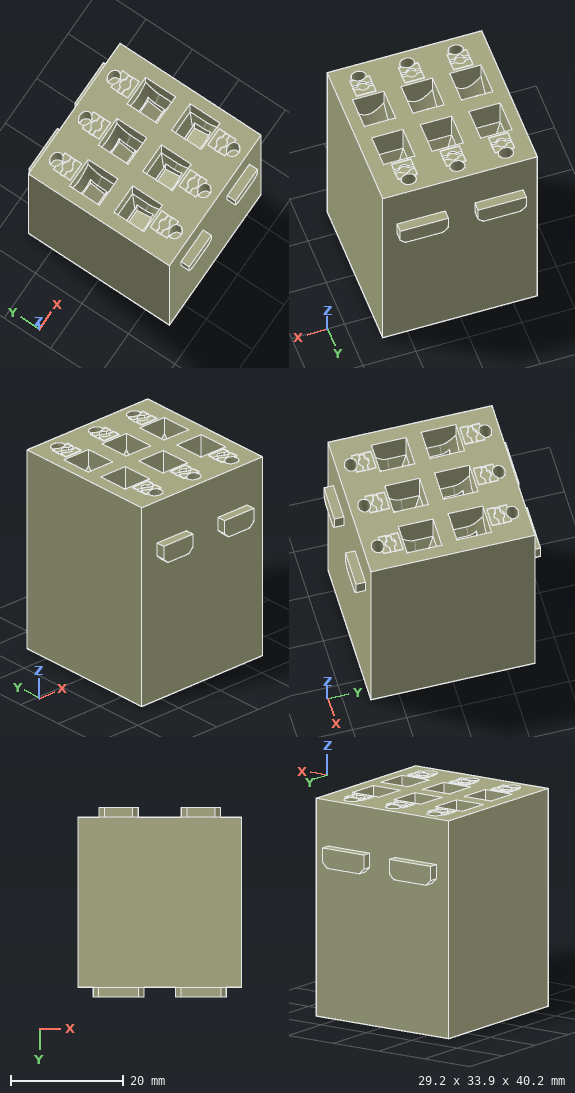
import cadquery as cq
import math

BLOCK_X = 29.2
BLOCK_Y = 30.35
BLOCK_Z = 40.0

TAB_REACH = 1.75
TAB_HEIGHT = 3.6
TAB_TOP_DROP = 8.4
TAB_CHAMFER = 1.0
TAB_PITCH = 14.7
FRONT_TAB_WIDTH = 7.05
REAR_TAB_WIDTH = 9.1

TERMINAL_COUNT = 3
TERMINAL_PITCH = 9.17
POCKET_OFFSET_X = -0.2
CONTACT_OFFSET_X = -0.4

POCKET_X = 5.9
POCKET_Y = 6.4
POCKET_CENTRE_Y = 4.65
FUNNEL_DEPTH = 5.4
FUNNEL_TAPER = 30.0
FUNNEL_INSET = 1.5
CORNER_CLEARANCE = 0.05
FUNNEL_STEEPNESS = 1 / math.tan(math.radians(FUNNEL_TAPER))
FUNNEL_SPREAD = POCKET_X / 2 * (math.sqrt(2) - 1) + CORNER_CLEARANCE
STRAIGHT_DEPTH = FUNNEL_DEPTH - FUNNEL_SPREAD * FUNNEL_STEEPNESS

SOCKET_X = 3.7
SOCKET_INNER_Y = 3.0
SOCKET_OUTER_Y = 6.45
SOCKET_MIN_DEPTH = 9.0
SOCKET_FLOOR_ANGLE = 25.0

PAD_X = 3.65
PAD_Y = 3.6
PAD_CENTRE_Y = 10.15
PAD_RAISE = 0.15
GROOVE_Y = 0.88
GROOVE_RADIUS = 0.97
GROOVE_DEPTH = 0.35

OVAL_X = 2.75
OVAL_Y = 2.25
OVAL_CENTRE_Y = 12.55
OVAL_DEPTH = 5.0


def top_plane(depth=0.0):
    """Horizontal work plane at a depth below the top face of the block."""
    return cq.Workplane("XY").workplane(offset=BLOCK_Z - depth)


def tab(width, centre_x):
    """Latch tab with two chamfered lower corners, reaching out from the front face."""
    half = width / 2
    top = BLOCK_Z - TAB_TOP_DROP
    bottom = top - TAB_HEIGHT
    outline = [
        (centre_x - half, top),
        (centre_x + half, top),
        (centre_x + half, bottom + TAB_CHAMFER),
        (centre_x + half - TAB_CHAMFER, bottom),
        (centre_x - half + TAB_CHAMFER, bottom),
        (centre_x - half, bottom + TAB_CHAMFER),
    ]
    return (
        cq.Workplane("XZ")
        .workplane(offset=BLOCK_Y / 2)
        .polyline(outline)
        .close()
        .extrude(TAB_REACH)
    )


def half_turn(shape):
    """Copy turned half a turn about the vertical axis of the block."""
    return shape.rotate((0, 0, 0), (0, 0, 1), 180)


def pocket(x, depth):
    """Straight-walled terminal pocket."""
    return top_plane().center(x, POCKET_CENTRE_Y).rect(POCKET_X, POCKET_Y).extrude(-depth)


def funnel(x):
    """Tapered U-shaped funnel, trimmed to the walls of the pocket above it."""
    radius = POCKET_X / 2
    inner_y = POCKET_CENTRE_Y - POCKET_Y / 2
    arc_y = POCKET_CENTRE_Y + POCKET_Y / 2 - radius
    half = radius + FUNNEL_SPREAD
    height = (FUNNEL_SPREAD + FUNNEL_INSET) * FUNNEL_STEEPNESS
    cone = (
        top_plane(STRAIGHT_DEPTH)
        .moveTo(x - half, arc_y)
        .lineTo(x - half, inner_y - FUNNEL_SPREAD)
        .lineTo(x + half, inner_y - FUNNEL_SPREAD)
        .lineTo(x + half, arc_y)
        .threePointArc((x, arc_y + half), (x - half, arc_y))
        .close()
        .extrude(-height, taper=FUNNEL_TAPER)
    )
    return cone.intersect(pocket(x, STRAIGHT_DEPTH + height))


def socket(x):
    """Rectangular socket whose floor falls away towards the middle of the block."""
    fall = (SOCKET_OUTER_Y - SOCKET_INNER_Y) * math.tan(math.radians(SOCKET_FLOOR_ANGLE))
    top = BLOCK_Z - FUNNEL_DEPTH
    floor = BLOCK_Z - SOCKET_MIN_DEPTH
    return (
        cq.Workplane("YZ")
        .workplane(offset=x - SOCKET_X / 2)
        .moveTo(SOCKET_INNER_Y, top)
        .lineTo(SOCKET_OUTER_Y, top)
        .lineTo(SOCKET_OUTER_Y, floor)
        .lineTo(SOCKET_INNER_Y, floor - fall)
        .close()
        .extrude(SOCKET_X)
    )


def pad(x):
    """Contact pad standing slightly above the top face."""
    return top_plane().center(x, PAD_CENTRE_Y).rect(PAD_X, PAD_Y).extrude(PAD_RAISE)


def groove(x):
    """Cross groove with a round middle, cut through the pad into the block."""
    plane = top_plane(GROOVE_DEPTH).center(x, PAD_CENTRE_Y)
    height = GROOVE_DEPTH + PAD_RAISE
    return plane.rect(PAD_X, GROOVE_Y).extrude(height).union(plane.circle(GROOVE_RADIUS).extrude(height))


def oval_hole(x):
    """Blind oval hole at the outer end of the pad."""
    return (
        top_plane(OVAL_DEPTH)
        .center(x, OVAL_CENTRE_Y)
        .ellipse(OVAL_X / 2, OVAL_Y / 2)
        .extrude(OVAL_DEPTH + PAD_RAISE)
    )


result = cq.Workplane("XY").box(BLOCK_X, BLOCK_Y, BLOCK_Z, centered=(True, True, False))

for side in (-1, 1):
    tab_x = side * TAB_PITCH / 2
    result = result.union(tab(FRONT_TAB_WIDTH, tab_x))
    result = result.union(half_turn(tab(REAR_TAB_WIDTH, tab_x)))

row = [(i - (TERMINAL_COUNT - 1) / 2) * TERMINAL_PITCH for i in range(TERMINAL_COUNT)]

for terminal_x in row:
    contact_pad = pad(terminal_x + CONTACT_OFFSET_X)
    result = result.union(contact_pad).union(half_turn(contact_pad))

for terminal_x in row:
    pocket_x = terminal_x + POCKET_OFFSET_X
    contact_x = terminal_x + CONTACT_OFFSET_X
    cutters = [
        pocket(pocket_x, STRAIGHT_DEPTH),
        funnel(pocket_x),
        socket(contact_x),
        groove(contact_x),
        oval_hole(contact_x),
    ]
    for cutter in cutters:
        result = result.cut(cutter).cut(half_turn(cutter))